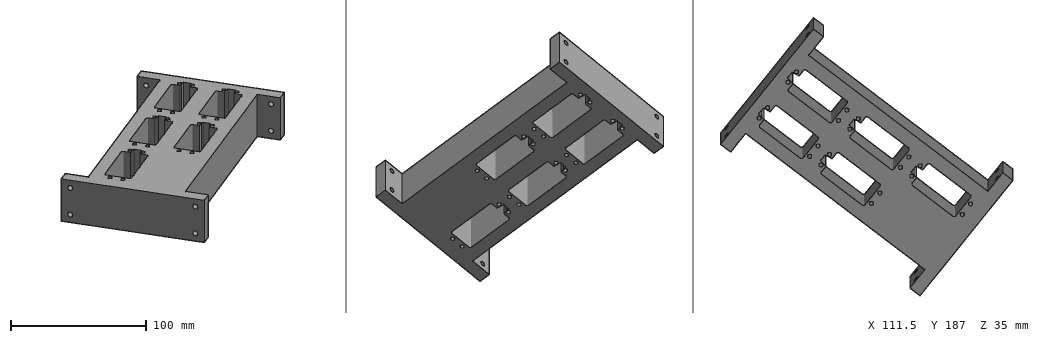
import cadquery as cq

length = 187.0
width = 111.5
height = 35.0
body_width = 75.5
flange_thickness = 9.5

flange_hole_diameter = 4.0
flange_hole_spacing_x = 97.2
flange_hole_spacing_z = 22.0

pocket_width = 20.8
pocket_length = 40.8
pocket_corner_radius = 1.5
column_spacing = 34.6
row_pitch = 58.0
first_row_y = 59.5
left_column_rows = 3
right_column_rows = 2

notch_base_width = 7.3
notch_tip_width = 5.8
notch_depth = 5.8

screw_hole_diameter = 3.0
screw_spacing_x = 10.1
screw_spacing_y = 47.3
screw_offset_y = 0.2


def column_centers(x, rows):
    """Pocket centres of one column, counted from the +Y end."""
    return [(x, first_row_y - row * row_pitch) for row in range(rows)]


def frame():
    """I-shaped solid block: a body with a wider flange at each Y end."""
    body = cq.Workplane("XY").box(body_width, length, height)
    flange_y = (length - flange_thickness) / 2
    flanges = (
        cq.Workplane("XY")
        .pushPoints([(0, -flange_y), (0, flange_y)])
        .box(width, flange_thickness, height)
    )
    return body.union(flanges)


def flange_holes():
    """Four holes along Y that pass through both flanges."""
    return (
        cq.Workplane("XZ")
        .rarray(flange_hole_spacing_x, flange_hole_spacing_z, 2, 2)
        .circle(flange_hole_diameter / 2)
        .extrude(length / 2, both=True)
    )


def pocket_cutter():
    """One through pocket with its notch and four screw holes, centred on the origin."""
    pocket = (
        cq.Workplane("XY")
        .box(pocket_width, pocket_length, height)
        .edges("|Z")
        .fillet(pocket_corner_radius)
    )
    pocket_end = pocket_length / 2
    notch_end = pocket_end + notch_depth
    notch = (
        cq.Workplane("XY")
        .polyline([
            (-notch_base_width / 2, 0),
            (notch_base_width / 2, 0),
            (notch_base_width / 2, pocket_end),
            (notch_tip_width / 2, notch_end),
            (-notch_tip_width / 2, notch_end),
            (-notch_base_width / 2, pocket_end),
        ])
        .close()
        .extrude(height / 2, both=True)
    )
    screw_holes = (
        cq.Workplane("XY")
        .center(0, screw_offset_y)
        .rarray(screw_spacing_x, screw_spacing_y, 2, 2)
        .circle(screw_hole_diameter / 2)
        .extrude(height / 2, both=True)
    )
    return pocket.union(notch).union(screw_holes)


result = frame().cut(flange_holes())
pocket_centers = (
    column_centers(-column_spacing / 2, left_column_rows)
    + column_centers(column_spacing / 2, right_column_rows)
)
for x, y in pocket_centers:
    result = result.cut(pocket_cutter().translate((x, y, 0)))